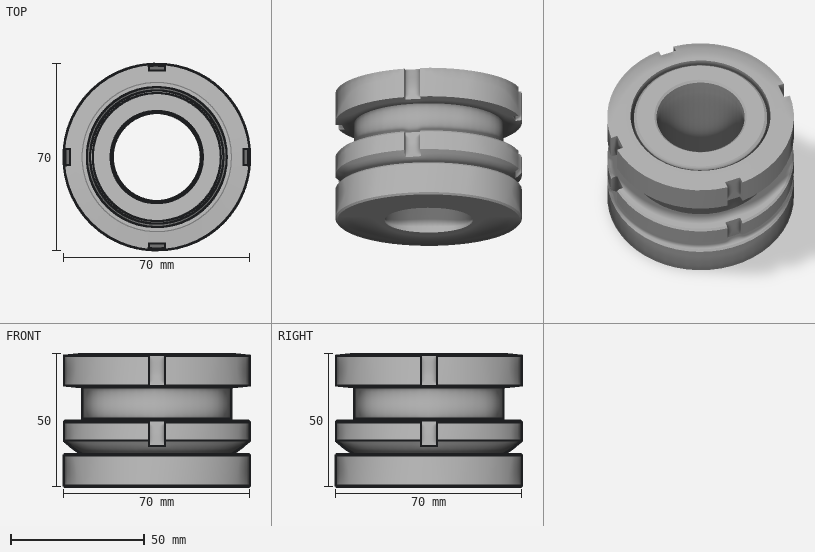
import cadquery as cq
import math

outer_radius = 35.0
bore_radius = 16.5
rim_chamfer = 0.7

base_height = 12.5

collar_bottom = 17.5
collar_top = 25.0
seat_radius = 52.5
seat_center_z = collar_bottom + math.sqrt(seat_radius**2 - outer_radius**2)
stem_radius = 25.0
stem_top = 49.8
stem_chamfer = 1.0
bore_chamfer = 0.8

nut_top = 50.0
hub_radius = 28.0
hub_chamfer = 0.85
flange_thickness = 12.5
flange_bottom = nut_top - flange_thickness
flange_taper = 0.7
nut_bore_radius = 26.25

slot_count = 4
slot_width = 6.0
slot_depth = 2.5
slot_floor_radius = outer_radius - slot_depth


def seat_height(radius):
    """Height of the spherical seat at a distance from the axis."""
    return seat_center_z - math.sqrt(seat_radius**2 - radius**2)


def seat_rim_radius(height):
    """Radius of the spherical seat at a given height."""
    return math.sqrt(seat_radius**2 - (seat_center_z - height) ** 2)


def seat_point(radius):
    """Profile point on the spherical seat."""
    return radius, seat_height(radius)


def revolve_profile(profile):
    """Turn a closed radius-height profile around the Z axis."""
    return profile.close().revolve(360, (0, 0, 0), (0, 1, 0))


def cut_spanner_slots(body, bottom, top):
    """Cut evenly spaced vertical slots into the rim between two heights."""
    slot = cq.Workplane("XY").box(
        2 * slot_depth, slot_width, top - bottom, centered=(False, True, False)
    ).translate((slot_floor_radius, 0, bottom))
    for index in range(slot_count):
        body = body.cut(slot.rotate((0, 0, 0), (0, 0, 1), index * 360 / slot_count))
    return body


def make_base():
    """Chamfered washer with a spherical recess in its upper face."""
    recess_rim = seat_rim_radius(base_height)
    recess_middle = (bore_radius + recess_rim) / 2
    profile = (
        cq.Workplane("XZ")
        .moveTo(bore_radius, 0)
        .lineTo(outer_radius - rim_chamfer, 0)
        .lineTo(outer_radius, rim_chamfer)
        .lineTo(outer_radius, base_height - rim_chamfer)
        .lineTo(outer_radius - rim_chamfer, base_height)
        .lineTo(recess_rim, base_height)
        .threePointArc(seat_point(recess_middle), seat_point(bore_radius))
    )
    return revolve_profile(profile)


def make_screw():
    """Hollow stem on a slotted collar whose underside is spherical."""
    foot_middle = (bore_radius + outer_radius) / 2
    profile = (
        cq.Workplane("XZ")
        .moveTo(*seat_point(bore_radius))
        .threePointArc(seat_point(foot_middle), (outer_radius, collar_bottom))
        .lineTo(outer_radius, collar_top - rim_chamfer)
        .lineTo(outer_radius - rim_chamfer, collar_top)
        .lineTo(stem_radius, collar_top)
        .lineTo(stem_radius, stem_top - stem_chamfer)
        .lineTo(stem_radius - stem_chamfer, stem_top)
        .lineTo(bore_radius + bore_chamfer, stem_top)
        .lineTo(bore_radius, stem_top - bore_chamfer)
    )
    return cut_spanner_slots(revolve_profile(profile), seat_height(bore_radius), collar_top)


def make_nut():
    """Nut with a plain clearance bore, a hub and a slotted flange that thins toward its rim."""
    profile = (
        cq.Workplane("XZ")
        .moveTo(nut_bore_radius, collar_top)
        .lineTo(hub_radius - hub_chamfer, collar_top)
        .lineTo(hub_radius, collar_top + hub_chamfer)
        .lineTo(hub_radius, flange_bottom)
        .lineTo(outer_radius, flange_bottom + flange_taper)
        .lineTo(outer_radius, nut_top - flange_taper)
        .lineTo(hub_radius, nut_top)
        .lineTo(nut_bore_radius, nut_top)
    )
    return cut_spanner_slots(revolve_profile(profile), flange_bottom, nut_top)


base = make_base()
screw = make_screw()
nut = make_nut()

result = cq.Compound.makeCompound([base.val(), screw.val(), nut.val()])